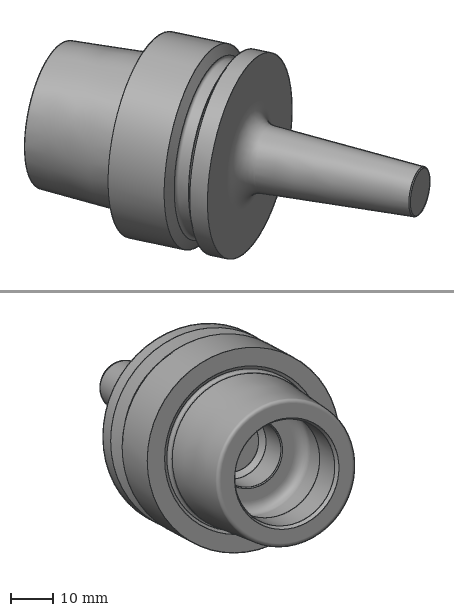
import cadquery as cq
import math

TOTAL_LENGTH = 94.9

nose_fillet = 0.95
taper_start_radius = 18.0
taper_end_x = 23.0
taper_end_radius = 19.3
bevel_end_x = 23.7
bevel_end_radius = 19.1
neck_start_x = 24.0
neck_end_x = 24.7
neck_radius = 19.0

flange_x = 25.1
undercut_fillet = 0.8
undercut_rim_radius = 20.5

flange_diameter = 50.0
flange_radius = flange_diameter / 2
flange_end_x = 50.8
groove_start_x = 39.6
groove_end_x = 46.2
groove_wall_depth = 2.6
groove_wall_angle = 60.0
groove_floor_radius = 21.5
groove_fillet = 0.71

root_fillet = 4.9
stem_root_radius = 8.2
stem_tip_radius = 6.1
tip_chamfer = 0.3

bore_radius = 13.0
bore_mouth_radius = 13.6
bore_mouth_depth = 1.1
lip_end_x = 9.9
clamp_radius = 14.5
clamp_fillet = 2.75
clamp_floor_x = 21.4

hole_radius = 8.3
hole_chamfer = 0.3
hole_cone_start_x = 30.4
hole_floor_x = 31.7
hole_floor_radius = 6.9

QUARTER_ARC = math.sqrt(0.5)


def outer_body():
    """Solid of revolution: shank, neck undercut, grooved flange and stem."""
    nose_arc_inset = nose_fillet * (1 - QUARTER_ARC)
    undercut_x = neck_end_x + undercut_fillet
    undercut_radius = neck_radius + undercut_fillet
    wall_width = groove_wall_depth / math.tan(math.radians(groove_wall_angle))
    wall_end_radius = flange_radius - groove_wall_depth
    left_wall_end_x = groove_start_x + wall_width
    right_wall_end_x = groove_end_x - wall_width
    groove_arc_inset = groove_fillet * (1 - QUARTER_ARC)
    groove_arc_radius = groove_floor_radius + groove_arc_inset
    root_x = flange_end_x + root_fillet
    root_radius = stem_root_radius + root_fillet

    profile = (
        cq.Workplane("XY")
        .lineTo(0, taper_start_radius - nose_fillet)
        .threePointArc(
            (nose_arc_inset, taper_start_radius - nose_arc_inset),
            (nose_fillet, taper_start_radius),
        )
        .lineTo(taper_end_x, taper_end_radius)
        .lineTo(bevel_end_x, bevel_end_radius)
        .lineTo(neck_start_x, neck_radius)
        .lineTo(neck_end_x, neck_radius)
        .threePointArc(
            (neck_end_x + undercut_fillet * QUARTER_ARC, undercut_radius - undercut_fillet * QUARTER_ARC),
            (undercut_x, undercut_radius),
        )
        .lineTo(flange_x, undercut_rim_radius)
        .lineTo(flange_x, flange_radius)
        .lineTo(groove_start_x, flange_radius)
        .lineTo(left_wall_end_x, wall_end_radius)
        .lineTo(left_wall_end_x, groove_floor_radius + groove_fillet)
        .threePointArc(
            (left_wall_end_x + groove_arc_inset, groove_arc_radius),
            (left_wall_end_x + groove_fillet, groove_floor_radius),
        )
        .lineTo(right_wall_end_x - groove_fillet, groove_floor_radius)
        .threePointArc(
            (right_wall_end_x - groove_arc_inset, groove_arc_radius),
            (right_wall_end_x, groove_floor_radius + groove_fillet),
        )
        .lineTo(right_wall_end_x, wall_end_radius)
        .lineTo(groove_end_x, flange_radius)
        .lineTo(flange_end_x, flange_radius)
        .lineTo(flange_end_x, root_radius)
        .threePointArc(
            (root_x - root_fillet * QUARTER_ARC, root_radius - root_fillet * QUARTER_ARC),
            (root_x, stem_root_radius),
        )
        .lineTo(TOTAL_LENGTH - tip_chamfer, stem_tip_radius)
        .lineTo(TOTAL_LENGTH, stem_tip_radius - tip_chamfer)
        .lineTo(TOTAL_LENGTH, 0)
        .close()
    )
    return profile.revolve(360, (0, 0, 0), (1, 0, 0))


def nose_bore():
    """Hollow of the shank: chamfered lip, wider clamping chamber and blind hole."""
    chamber_end_x = clamp_floor_x - clamp_fillet
    fillet_center_radius = clamp_radius - clamp_fillet

    profile = (
        cq.Workplane("XY")
        .lineTo(0, bore_mouth_radius)
        .lineTo(bore_mouth_depth, bore_radius)
        .lineTo(lip_end_x, bore_radius)
        .lineTo(lip_end_x, clamp_radius)
        .lineTo(chamber_end_x, clamp_radius)
        .threePointArc(
            (chamber_end_x + clamp_fillet * QUARTER_ARC, fillet_center_radius + clamp_fillet * QUARTER_ARC),
            (clamp_floor_x, fillet_center_radius),
        )
        .lineTo(clamp_floor_x, hole_radius + hole_chamfer)
        .lineTo(clamp_floor_x + hole_chamfer, hole_radius)
        .lineTo(hole_cone_start_x, hole_radius)
        .lineTo(hole_floor_x, hole_floor_radius)
        .lineTo(hole_floor_x, 0)
        .close()
    )
    return profile.revolve(360, (0, 0, 0), (1, 0, 0))


result = outer_body().cut(nose_bore())